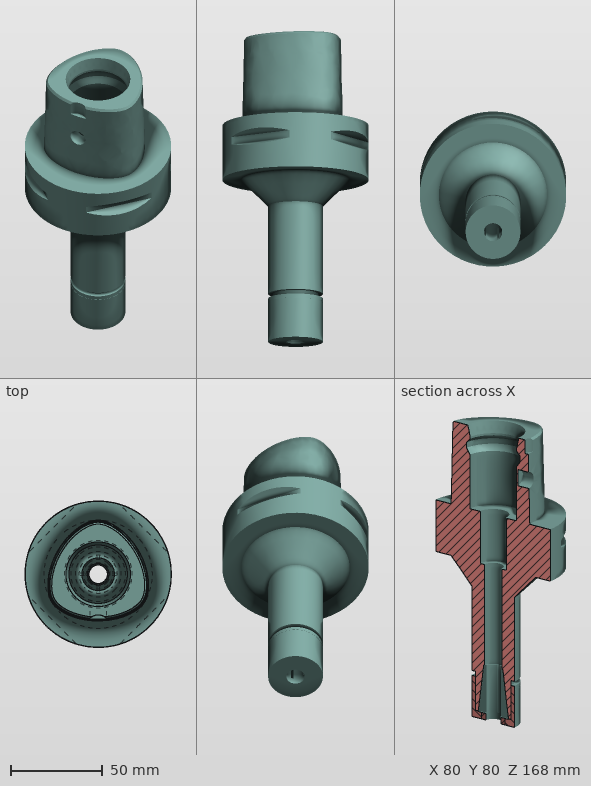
import cadquery as cq
import math


total_length = 168.0
shank_height = 48.0
tip_z = shank_height - total_length

lobe_mean_radius = 27.5
lobe_rise = 2.0
shank_taper = 1 / 40
outline_steps = 48
rim_chamfer_inset = 1.0
rim_chamfer_height = 1.2

keyway_radius = 6.4
keyway_depth = 7.9
keyway_floor_y = -22.2
side_hole_radius = 4.5
side_hole_z = 25.0
side_hole_floor_y = -17.3

mouth_radius = 17.6
bore_radius = 16.0
undercut_radius = 18.5
mouth_depth = 6.7
lip_depth = 7.9
undercut_roof_depth = lip_depth + undercut_radius - bore_radius
undercut_depth = 13.6
undercut_runout_depth = 17.0
seat_radius = 8.9
seat_floor_z = -30.0
passage_radius = 5.9

flange_radius = 40.0
flange_height = 30.0
gripper_z = -12.0
gripper_floor_distance = 35.3
gripper_floor_half_height = 2.0
gripper_rim_half_height = 4.4
gripper_count = 4
gripper_first_angle = 45
gripper_cut_overshoot = 1.7

neck_radius = 15.0
cone_top_radius = 29.5
cone_height = cone_top_radius - neck_radius
neck_end_z = -93.4

nut_top_z = -96.0
nut_groove_z = -98.3
nut_groove_width = 0.3
nut_groove_depth = 0.08
spigot_radius = 12.5
nut_wall = 4.0
spigot_end_z = tip_z + nut_wall
collet_front_radius = 10.5
collet_nose_radius = 8.0
collet_bore_radius = 5.0
collet_length = 31.5
collet_half_angle = 8.0
collet_back_z = tip_z + collet_length
collet_back_radius = collet_front_radius - (collet_back_z - spigot_end_z) * math.tan(
    math.radians(collet_half_angle)
)
slot_width = 1.3
slot_front_z = spigot_end_z
slot_count = 4


def revolved(points):
    """Solid of revolution about Z from (radius, z) points."""
    return cq.Workplane("XZ").polyline(points).close().revolve(360, (0, 0), (0, 1))


def cylinder(radius, bottom_z, top_z):
    return cq.Workplane("XY").workplane(offset=bottom_z).circle(radius).extrude(top_z - bottom_z)


def lobed_wire(mean_radius, z):
    """Constant-width three-lobed outline, with one lobe pointing to +Y."""
    points = []
    for step in range(outline_steps):
        angle = 2 * math.pi * step / outline_steps - math.pi / 2
        reach = mean_radius - lobe_rise * math.sin(3 * angle)
        slope = -3 * lobe_rise * math.cos(3 * angle)
        x = reach * math.cos(angle) - slope * math.sin(angle)
        y = reach * math.sin(angle) + slope * math.cos(angle)
        points.append(cq.Vector(x, y, z))
    return cq.Wire.assembleEdges([cq.Edge.makeSpline(points, periodic=True)])


def make_shank():
    """Tapered shank with a narrow chamfer round its end face."""
    chamfer_z = shank_height - rim_chamfer_height
    chamfer_radius = lobe_mean_radius - chamfer_z * shank_taper
    outlines = [
        lobed_wire(lobe_mean_radius, 0),
        lobed_wire(chamfer_radius, chamfer_z),
        lobed_wire(chamfer_radius - rim_chamfer_inset, shank_height),
    ]
    return cq.Workplane(cq.Solid.makeLoft(outlines, True))


def make_gripper_groove(angle):
    """Flat-bottomed groove with flared sides, cut straight across the flange rim."""
    slope = (gripper_rim_half_height - gripper_floor_half_height) / (flange_radius - gripper_floor_distance)
    outer_distance = flange_radius + gripper_cut_overshoot
    outer_half_height = gripper_floor_half_height + slope * (outer_distance - gripper_floor_distance)
    profile = [
        (gripper_floor_distance, gripper_z - gripper_floor_half_height),
        (outer_distance, gripper_z - outer_half_height),
        (outer_distance, gripper_z + outer_half_height),
        (gripper_floor_distance, gripper_z + gripper_floor_half_height),
    ]
    groove = cq.Workplane("XZ").polyline(profile).close().extrude(flange_radius, both=True)
    return groove.rotate((0, 0, 0), (0, 0, 1), angle)


def make_collet_blank():
    """Collet without its bore and slots; the holder's seat has the same shape."""
    return revolved([
        (0, tip_z),
        (collet_nose_radius, tip_z),
        (collet_nose_radius, spigot_end_z),
        (collet_front_radius, spigot_end_z),
        (collet_back_radius, collet_back_z),
        (0, collet_back_z),
    ])


def make_holder_bore():
    return revolved([
        (0, shank_height),
        (mouth_radius, shank_height),
        (bore_radius, shank_height - mouth_depth),
        (bore_radius, shank_height - lip_depth),
        (undercut_radius, shank_height - undercut_roof_depth),
        (undercut_radius, shank_height - undercut_depth),
        (bore_radius, shank_height - undercut_runout_depth),
        (bore_radius, 0),
        (seat_radius, 0),
        (seat_radius, seat_floor_z),
        (passage_radius, seat_floor_z),
        (passage_radius, collet_back_z),
        (0, collet_back_z),
    ])


def make_holder():
    """Shank, flange, neck and spigot in one piece."""
    turned = revolved([
        (0, 0),
        (flange_radius, 0),
        (flange_radius, -flange_height),
        (cone_top_radius, -flange_height),
        (neck_radius, -flange_height - cone_height),
        (neck_radius, neck_end_z),
        (spigot_radius, neck_end_z),
        (spigot_radius, spigot_end_z),
        (0, spigot_end_z),
    ])
    holder = turned.union(make_shank())

    for index in range(gripper_count):
        holder = holder.cut(make_gripper_groove(gripper_first_angle + index * 360 / gripper_count))

    keyway = cylinder(keyway_radius, shank_height - keyway_depth, shank_height)
    holder = holder.cut(keyway.translate((0, keyway_floor_y - keyway_radius, 0)))

    side_hole = cq.Workplane("XZ", origin=(0, side_hole_floor_y, side_hole_z))
    side_hole = side_hole.circle(side_hole_radius).extrude(flange_radius)
    holder = holder.cut(side_hole)

    return holder.cut(make_holder_bore()).cut(make_collet_blank())


def make_nut():
    """Cap screwed over the spigot, with a hairline groove round its rim."""
    nut = cylinder(neck_radius, tip_z, nut_top_z)
    nut = nut.cut(cylinder(spigot_radius, spigot_end_z, nut_top_z))
    nut = nut.cut(cylinder(collet_nose_radius, tip_z, spigot_end_z))

    groove_bottom_z = nut_groove_z - nut_groove_width / 2
    groove_top_z = nut_groove_z + nut_groove_width / 2
    ring = cylinder(neck_radius, groove_bottom_z, groove_top_z)
    ring = ring.cut(cylinder(neck_radius - nut_groove_depth, groove_bottom_z, groove_top_z))
    return nut.cut(ring)


def make_collet():
    """Clamping collet, slotted from its back end."""
    collet = make_collet_blank().cut(cylinder(collet_bore_radius, tip_z, collet_back_z))
    slot_height = collet_back_z - slot_front_z
    slot = cq.Workplane("XY").box(
        collet_front_radius, slot_width, slot_height, centered=(False, True, False)
    ).translate((0, 0, slot_front_z))
    for index in range(slot_count):
        collet = collet.cut(slot.rotate((0, 0, 0), (0, 0, 1), index * 360 / slot_count))
    return collet


holder = make_holder()
nut = make_nut()
collet = make_collet()

result = cq.Compound.makeCompound([body.solids().val() for body in (holder, nut, collet)])